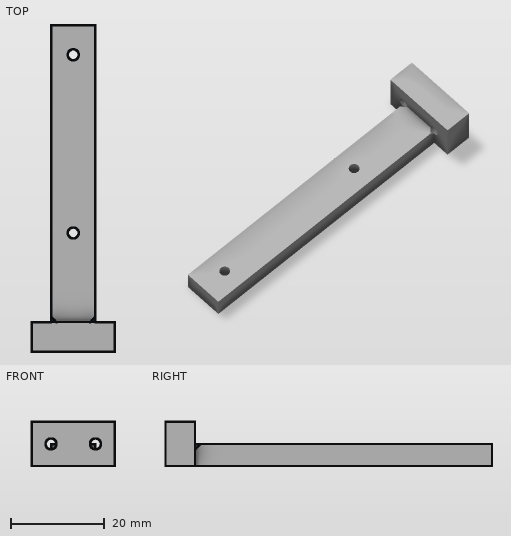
import cadquery as cq

total_length = 69.85
head_width = 17.8
head_height = 9.5
head_depth = 6.35

arm_width = 9.5
arm_height = head_height / 2
arm_length = total_length - head_depth

hole_diameter = 2.3
head_hole_spacing = 9.5
arm_hole_end_distance = 6.35
arm_hole_spacing = 38.1
relief_depth = 1.1


def make_head():
    return cq.Workplane("XY").box(head_width, head_depth, head_height, centered=(True, False, False))


def make_arm():
    return (
        cq.Workplane("XY")
        .box(arm_width, arm_length, arm_height, centered=(True, False, False))
        .translate((0, head_depth, 0))
    )


def make_head_drill(x):
    """Drill through the head whose conical tip nicks the upper corner of the arm."""
    start = cq.Vector(x, 0, head_height / 2)
    along_y = cq.Vector(0, 1, 0)
    shank = cq.Solid.makeCylinder(hole_diameter / 2, head_depth, start, along_y)
    tip_start = cq.Vector(x, head_depth, head_height / 2)
    tip = cq.Solid.makeCone(hole_diameter / 2, 0, relief_depth, tip_start, along_y)
    return cq.Workplane(obj=shank).union(cq.Workplane(obj=tip))


def make_arm_drill(y):
    return cq.Workplane("XY").center(0, y).circle(hole_diameter / 2).extrude(arm_height)


result = make_head().union(make_arm())

for side in (-1, 1):
    result = result.cut(make_head_drill(side * head_hole_spacing / 2))

far_hole_y = total_length - arm_hole_end_distance
for hole_y in (far_hole_y, far_hole_y - arm_hole_spacing):
    result = result.cut(make_arm_drill(hole_y))